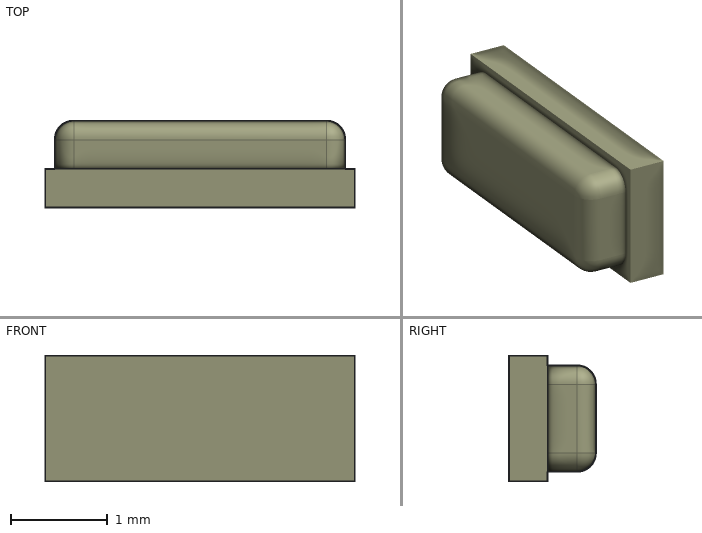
import cadquery as cq

base_length = 3.2
base_height = 1.3
base_depth = 0.4
total_depth = 0.9
body_inset = 0.1
edge_radius = 0.2

body_length = base_length - 2 * body_inset
body_height = base_height - 2 * body_inset
body_depth = total_depth - base_depth


def make_base():
    """Plain rectangular slab with its front face on Y = 0."""
    return cq.Workplane("XY").box(
        base_length, base_depth, base_height, centered=(True, False, True)
    )


def make_body():
    """Block behind the slab, rounded on every edge except those meeting the slab."""
    block = cq.Workplane("XY").box(
        body_length, body_depth, body_height, centered=(True, False, True)
    )
    rounded = block.edges("|Y or >Y").fillet(edge_radius)
    return rounded.translate((0, base_depth, 0))


result = make_base().union(make_body())